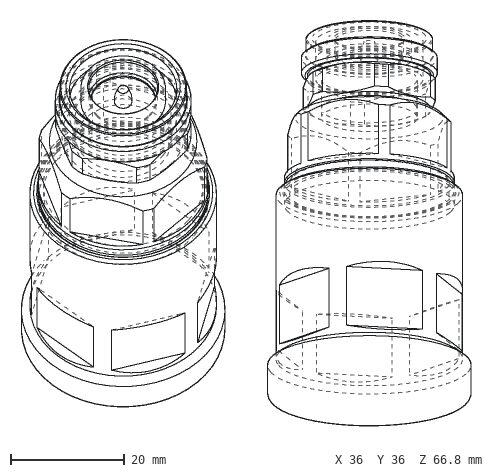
import cadquery as cq
import math


overall_height = 66.8

shell_radius = 16.5
shell_top = 38.4
shell_chamfer_width = 0.7
shell_chamfer_height = 0.5
flange_diameter = 36.0
flange_radius = flange_diameter / 2
flange_top = 6.6
flange_slope_height = 1.1
flange_round = 1.0
flange_dish_height = 0.5
flange_foot_radius = 15.2
flat_count = 6
flat_distance = 15.0
flat_bottom = 9.15
flat_top = 20.0
flat_runout = (shell_radius - flat_distance) * math.tan(math.radians(30))

spigot_radius = 15.0
spigot_length = 2.0
mouth_chamfer = 0.3
spigot_top = shell_top - mouth_chamfer
spigot_bottom = spigot_top - spigot_length

bead_radius = 1.0
bead_center_radius = 14.1
body_radius = 15.0
body_flange_bottom = spigot_top + 2 * bead_radius
body_flange_top = 41.15
body_top = 52.2
body_chamfer = 2.0
body_across_flats = 27.0
neck_radius = 8.5
head_radius = 9.5
head_bottom = 59.25
head_top = 63.0

ring_outer_radius = 7.5
ring_top = overall_height
ring_round = 0.5
ring_bore_radius = 6.1
ring_lip_width = 0.2
ring_lip_height = 0.35
ring_foot_radius = 5.75
ring_foot_bottom = 63.1
ring_foot_top = 63.6
well_floor = 62.8
pin_radius = 1.55
pin_bend_start = 63.8
pin_shoulder_radius = 1.4
pin_shoulder = 64.65
pin_tip_radius = 0.95
pin_top = 66.1

nut_top = overall_height
nut_rim_radius = 11.2
nut_rim_chamfer = 0.2
nut_rim_bottom = 63.7
nut_collar_radius = 12.0
nut_collar_bottom = 59.9
nut_collar_chamfer_width = 0.7
nut_collar_chamfer_height = 0.5
nut_groove_radius = 10.95
nut_hex_top = 59.25
nut_hex_bottom = 53.8
nut_hex_chamfer_width = 1.2
nut_hex_chamfer_height = 0.7
nut_across_flats = 22.0
nut_mouth_chamfer = 0.6


def revolve_about_z(profile):
    """Turn a closed outline, drawn as (radius, height), into a solid around Z."""
    return profile.close().revolve(360, (0, 0, 0), (0, 1, 0))


def outside_of_hexagon(across_flats, bottom, top, clearance_radius):
    """Ring-shaped cutter that leaves a hexagon with two flats facing -X and +X."""
    across_corners = across_flats / math.cos(math.radians(30))
    height = top - bottom
    hexagon = cq.Workplane("XY").workplane(offset=bottom).polygon(6, across_corners).extrude(height)
    blank = cq.Workplane("XY").workplane(offset=bottom).circle(clearance_radius).extrude(height)
    return blank.cut(hexagon.rotate((0, 0, 0), (0, 0, 1), 30))


def make_shell():
    round_middle = flange_round * math.sin(math.radians(45))
    round_center_radius = flange_radius - flange_round
    round_center_height = flange_dish_height + flange_round
    profile = (
        cq.Workplane("XZ")
        .moveTo(0, 0)
        .lineTo(flange_foot_radius, 0)
        .lineTo(round_center_radius, flange_dish_height)
        .threePointArc(
            (round_center_radius + round_middle, round_center_height - round_middle),
            (flange_radius, round_center_height),
        )
        .lineTo(flange_radius, flange_top)
        .lineTo(shell_radius, flange_top + flange_slope_height)
        .lineTo(shell_radius, shell_top - shell_chamfer_height)
        .lineTo(shell_radius - shell_chamfer_width, shell_top)
        .lineTo(spigot_radius + mouth_chamfer, shell_top)
        .lineTo(spigot_radius, spigot_top)
        .lineTo(spigot_radius, spigot_bottom)
        .lineTo(0, spigot_bottom)
    )
    shell = revolve_about_z(profile)
    for index in range(flat_count):
        turn = index * 360 / flat_count
        shell = shell.cut(make_flat_cutter().rotate((0, 0, 0), (0, 0, 1), turn))
    return shell


def make_flat_cutter():
    """Wedge-ended block that mills one wrench flat on the +Y side of the shell."""
    return (
        cq.Workplane("YZ")
        .moveTo(flat_distance, flat_bottom)
        .lineTo(shell_radius, flat_bottom - flat_runout)
        .lineTo(shell_radius, flat_top + flat_runout)
        .lineTo(flat_distance, flat_top)
        .close()
        .extrude(shell_radius, both=True)
    )


def make_front_body():
    base = make_body_base()
    return base.union(make_contact_ring()).union(make_pin())


def make_body_base():
    """Spigot, sealing bead, hexagon, neck and head, with a shallow well in the top of the head."""
    profile = (
        cq.Workplane("XZ")
        .moveTo(0, spigot_bottom)
        .lineTo(spigot_radius, spigot_bottom)
        .lineTo(spigot_radius, spigot_top)
        .lineTo(bead_center_radius, spigot_top)
        .threePointArc(
            (bead_center_radius + bead_radius, spigot_top + bead_radius),
            (bead_center_radius, body_flange_bottom),
        )
        .lineTo(body_radius, body_flange_bottom)
        .lineTo(body_radius, body_top - body_chamfer)
        .lineTo(body_radius - body_chamfer, body_top)
        .lineTo(neck_radius, body_top)
        .lineTo(neck_radius, head_bottom)
        .lineTo(head_radius, head_bottom)
        .lineTo(head_radius, head_top)
        .lineTo(ring_foot_radius, head_top)
        .lineTo(ring_foot_radius, well_floor)
        .lineTo(0, well_floor)
    )
    cutter = outside_of_hexagon(body_across_flats, body_flange_top, body_top, flange_radius)
    return revolve_about_z(profile).cut(cutter)


def make_contact_ring():
    round_middle = ring_round * math.sin(math.radians(45))
    round_center_radius = ring_outer_radius - ring_round
    round_center_height = ring_top - ring_round
    profile = (
        cq.Workplane("XZ")
        .moveTo(ring_foot_radius, head_top)
        .lineTo(ring_outer_radius, head_top)
        .lineTo(ring_outer_radius, round_center_height)
        .threePointArc(
            (round_center_radius + round_middle, round_center_height + round_middle),
            (round_center_radius, ring_top),
        )
        .lineTo(ring_bore_radius + ring_lip_width, ring_top)
        .lineTo(ring_bore_radius, ring_top - ring_lip_height)
        .lineTo(ring_bore_radius, ring_foot_top)
        .lineTo(ring_foot_radius, ring_foot_bottom)
    )
    return revolve_about_z(profile)


def make_pin():
    """Round pin that bends in above its shank and tapers to a flat tip."""
    profile = (
        cq.Workplane("XZ")
        .moveTo(0, well_floor)
        .lineTo(pin_radius, well_floor)
        .lineTo(pin_radius, pin_bend_start)
        .tangentArcPoint((pin_shoulder_radius, pin_shoulder), relative=False)
        .lineTo(pin_tip_radius, pin_top)
        .lineTo(0, pin_top)
    )
    return revolve_about_z(profile)


def make_coupling_nut():
    collar_edge_radius = nut_collar_radius - nut_collar_chamfer_width
    hex_bottom_radius = nut_collar_radius - nut_hex_chamfer_width
    profile = (
        cq.Workplane("XZ")
        .moveTo(neck_radius, nut_hex_bottom)
        .lineTo(hex_bottom_radius, nut_hex_bottom)
        .lineTo(nut_collar_radius, nut_hex_bottom + nut_hex_chamfer_height)
        .lineTo(nut_collar_radius, nut_hex_top - nut_hex_chamfer_height)
        .lineTo(nut_groove_radius, nut_hex_top)
        .lineTo(nut_groove_radius, nut_collar_bottom)
        .lineTo(collar_edge_radius, nut_collar_bottom)
        .lineTo(nut_collar_radius, nut_collar_bottom + nut_collar_chamfer_height)
        .lineTo(nut_collar_radius, nut_rim_bottom - nut_collar_chamfer_height)
        .lineTo(collar_edge_radius, nut_rim_bottom)
        .lineTo(nut_rim_radius, nut_rim_bottom)
        .lineTo(nut_rim_radius, nut_top - nut_rim_chamfer)
        .lineTo(nut_rim_radius - nut_rim_chamfer, nut_top)
        .lineTo(head_radius + nut_mouth_chamfer, nut_top)
        .lineTo(head_radius, nut_top - nut_mouth_chamfer)
        .lineTo(head_radius, head_bottom)
        .lineTo(neck_radius, head_bottom)
    )
    cutter = outside_of_hexagon(nut_across_flats, nut_hex_bottom, nut_hex_top, flange_radius)
    return revolve_about_z(profile).cut(cutter)


shell = make_shell()
front_body = make_front_body()
coupling_nut = make_coupling_nut()

result = cq.Compound.makeCompound([shell.val(), front_body.val(), coupling_nut.val()])